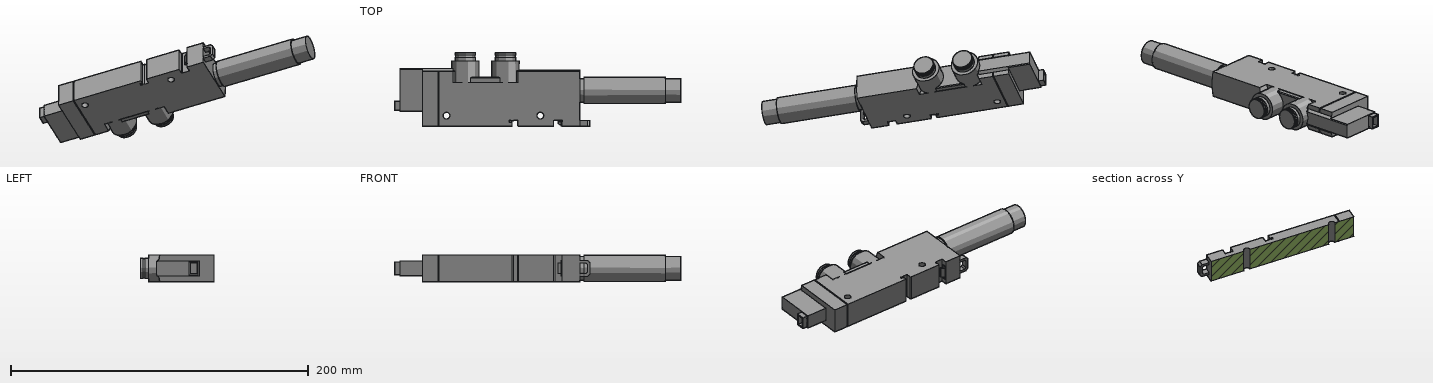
import cadquery as cq


thickness = 18.0
half_thickness = thickness / 2
total_length = 192.35
total_height = 49.7

body_length = 105.9
body_height = 37.7
body_edge_height = 36.7
plate_length = 10.6
joint_width = 0.6
joint_depth = 0.2

rib_height = 38.9
rib_base_height = 37.1
rib_base_half_width = 6.2
rib_top_half_width = 4.4

cover_reach = 15.1
cover_base = 10.0
cover_width = 10.0
connector_reach = 18.6
connector_base = 10.8
connector_height = 6.1
connector_width = 8.8
connector_wall = 0.9

hole_diameter = 4.4
hole_height = 7.2
first_hole_x = 16.3
hole_spacing = 63.0

fitting_positions = (28.9, 55.9)
collar_diameter = 18.5
collar_top = 44.0
pocket_start = 20.8
pocket_end = 64.4
pocket_floor = 29.6
pocket_wall_slant = 1.2
pocket_wall_slant_depth = 3.2
sleeve_diameter = 13.8
sleeve_groove_diameter = 13.2
sleeve_groove_base = 46.4
sleeve_groove_width = 1.5
sleeve_chamfer = 0.3

ledge_start = 32.4
ledge_end = 52.2
ledge_height = 33.1
ledge_thickness = 17.2
ledge_chamfer = 0.6

silencer_y = 24.1
silencer_neck_diameter = 16.0
silencer_neck_length = 2.7
silencer_diameter = 17.8
silencer_shoulder_x = 163.3
silencer_cap_diameter = 16.0

slot_depth = 4.1
hook_slot_start = 60.3
hook_slot_end = 64.1
hook_undercut = 1.8
hook_lip_height = 2.9
hook_mouth_chamfer = 0.6
roof_ridge_start = 59.5
roof_ridge_end = 61.3
roof_ridge_height = 0.4
latch_slot_start = 88.2
latch_slot_end = 93.9
latch_corner_length = 0.9
latch_corner_height = 0.3

tooth_reach = 2.7
tooth_top = 3.1
tooth_heel = 0.4
tooth_tip_width = 0.6
tooth_nose = 2.0
tooth_width = 6.9
shoulder_reach = 0.6
shoulder_width = 10.4
ring_end = 112.6
ring_width = 10.6
ring_height = 4.1
ring_wall = 1.7
ring_chamfer = 1.5
ring_hole_chamfer = 1.0


def block(x_start, x_end, y_start, y_end, width):
    """Box between two X and two Y limits, centred on Z = 0."""
    return (
        cq.Workplane("XY")
        .box(x_end - x_start, y_end - y_start, width, centered=(False, False, True))
        .translate((x_start, y_start, 0))
    )


def rod_along_x(x_start, x_end, diameter):
    return (
        cq.Workplane("YZ", origin=(x_start, silencer_y, 0))
        .circle(diameter / 2)
        .extrude(x_end - x_start)
    )


def rod_along_y(x, y_start, y_end, diameter):
    return (
        cq.Workplane("XZ", origin=(x, y_start, 0))
        .circle(diameter / 2)
        .extrude(y_start - y_end)
    )


def crowned_prism(x_start, x_end, inset=0.0):
    """Valve section with its crowned top, every side moved inwards by the inset."""
    half_width = half_thickness - inset
    return (
        cq.Workplane("YZ", origin=(x_start, 0, 0))
        .moveTo(inset, -half_width)
        .lineTo(body_edge_height - inset, -half_width)
        .threePointArc((body_height - inset, 0), (body_edge_height - inset, half_width))
        .lineTo(inset, half_width)
        .close()
        .extrude(x_end - x_start)
    )


def make_body():
    """Main block with a crowned top, the joint strip and the end plate."""
    joint_end = plate_length + joint_width
    main = crowned_prism(joint_end, body_length)
    joint = crowned_prism(plate_length, joint_end, joint_depth)
    plate = crowned_prism(0, plate_length)
    return main.union(joint).union(plate)


def rib_prism(y_base):
    """Tapered rib section running from the cover's outer face to the fitting pocket."""
    return (
        cq.Workplane("YZ", origin=(-cover_reach, 0, 0))
        .polyline([
            (y_base, -rib_base_half_width),
            (rib_base_height, -rib_base_half_width),
            (rib_height, -rib_top_half_width),
            (rib_height, rib_top_half_width),
            (rib_base_height, rib_base_half_width),
            (y_base, rib_base_half_width),
        ])
        .close()
        .extrude(cover_reach + pocket_start)
    )


def make_cover():
    """Pilot cover whose top takes the shape of the rib, with a hollow connector."""
    section = rib_prism(cover_base)
    cover = block(-cover_reach, 0, cover_base, rib_height, cover_width).intersect(section)
    connector_top = connector_base + connector_height
    shell = block(-connector_reach, -cover_reach, connector_base, connector_top, connector_width)
    cavity = block(
        -connector_reach,
        -cover_reach,
        connector_base + connector_wall,
        connector_top - connector_wall,
        connector_width - 2 * connector_wall,
    )
    return cover.union(shell.cut(cavity))


def make_rib():
    """Part of the rib on top of the valve, rooted below the crown."""
    rib_root = body_edge_height - joint_depth
    return rib_prism(rib_root).intersect(block(0, pocket_start, rib_root, rib_height, thickness))


def make_fitting(x):
    """Collar flattened to the valve thickness, carrying a grooved release sleeve."""
    collar = rod_along_y(x, pocket_floor, collar_top, collar_diameter).intersect(
        block(x - collar_diameter, x + collar_diameter, pocket_floor, collar_top, thickness)
    )
    sleeve = rod_along_y(x, collar_top, total_height, sleeve_diameter)
    sleeve = sleeve.faces(">Y").chamfer(sleeve_chamfer)
    groove_top = sleeve_groove_base + sleeve_groove_width
    groove = rod_along_y(x, sleeve_groove_base, groove_top, sleeve_diameter).cut(
        rod_along_y(x, sleeve_groove_base, groove_top, sleeve_groove_diameter)
    )
    return collar.union(sleeve.cut(groove))


def make_pocket():
    """Pocket for the fittings; its end walls slant outwards towards both broad faces."""
    inner_half_width = half_thickness - pocket_wall_slant_depth
    start_foot = pocket_start + pocket_wall_slant
    end_foot = pocket_end - pocket_wall_slant
    return (
        cq.Workplane("XZ", origin=(0, pocket_floor, 0))
        .polyline([
            (pocket_start, -half_thickness),
            (pocket_end, -half_thickness),
            (end_foot, -inner_half_width),
            (end_foot, inner_half_width),
            (pocket_end, half_thickness),
            (pocket_start, half_thickness),
            (start_foot, inner_half_width),
            (start_foot, -inner_half_width),
        ])
        .close()
        .extrude(pocket_floor - rib_height)
    )


def make_ledge():
    ledge = block(ledge_start, ledge_end, pocket_floor, ledge_height, ledge_thickness)
    return ledge.faces(">Y").edges("|X").chamfer(ledge_chamfer)


def make_silencer():
    neck_end = body_length + silencer_neck_length
    cap_end = total_length - connector_reach
    neck = rod_along_x(body_length, neck_end, silencer_neck_diameter)
    barrel = rod_along_x(neck_end, silencer_shoulder_x, silencer_diameter)
    cap = rod_along_x(silencer_shoulder_x, cap_end, silencer_cap_diameter)
    return neck.union(barrel).union(cap)


def make_rail_slots():
    """Slot with an undercut on its -X side and a roof ridge, and the slot for the latch."""
    hook_slot = (
        cq.Workplane("XY")
        .polyline([
            (hook_slot_start, 0),
            (hook_slot_end + hook_mouth_chamfer, 0),
            (hook_slot_end, hook_mouth_chamfer),
            (hook_slot_end, slot_depth),
            (hook_slot_start, slot_depth),
        ])
        .close()
        .extrude(half_thickness, both=True)
    )
    undercut = block(
        hook_slot_start - hook_undercut, hook_slot_end, hook_lip_height, slot_depth, thickness
    )
    ridge = block(
        roof_ridge_start, roof_ridge_end, slot_depth - roof_ridge_height, slot_depth, thickness
    )
    latch_slot = (
        cq.Workplane("XY")
        .polyline([
            (latch_slot_start, 0),
            (latch_slot_end, 0),
            (latch_slot_end, slot_depth),
            (latch_slot_start + latch_corner_length, slot_depth),
            (latch_slot_start, slot_depth - latch_corner_height),
        ])
        .close()
        .extrude(half_thickness, both=True)
    )
    return hook_slot.union(undercut).cut(ridge).union(latch_slot)


def make_latch_tooth():
    tooth = (
        cq.Workplane("XY")
        .polyline([
            (latch_slot_end, tooth_heel),
            (latch_slot_end - tooth_tip_width, tooth_heel),
            (latch_slot_end - tooth_reach, tooth_nose),
            (latch_slot_end - tooth_reach, tooth_top),
            (latch_slot_end, tooth_top),
        ])
        .close()
        .extrude(tooth_width / 2, both=True)
    )
    shoulder = block(
        latch_slot_end - shoulder_reach, latch_slot_end, tooth_heel, tooth_top, shoulder_width
    )
    return tooth.union(shoulder)


def make_pull_ring():
    ring = block(body_length, ring_end, 0, ring_height, ring_width)
    ring = ring.faces(">X").edges("|Y").chamfer(ring_chamfer)
    hole = block(body_length, ring_end - ring_wall, 0, ring_height, ring_width - 2 * ring_wall)
    hole = hole.faces(">X").edges("|Y").chamfer(ring_hole_chamfer)
    return ring.cut(hole)


def make_mounting_holes():
    return (
        cq.Workplane("XY", origin=(0, 0, -half_thickness))
        .pushPoints([(first_hole_x, hole_height), (first_hole_x + hole_spacing, hole_height)])
        .circle(hole_diameter / 2)
        .extrude(thickness)
    )


result = make_body().union(make_rib())
result = result.cut(make_pocket())
result = result.cut(make_rail_slots()).cut(make_mounting_holes())
result = result.union(make_cover()).union(make_ledge()).union(make_silencer())
for fitting_x in fitting_positions:
    result = result.union(make_fitting(fitting_x))
result = result.union(make_latch_tooth()).union(make_pull_ring())